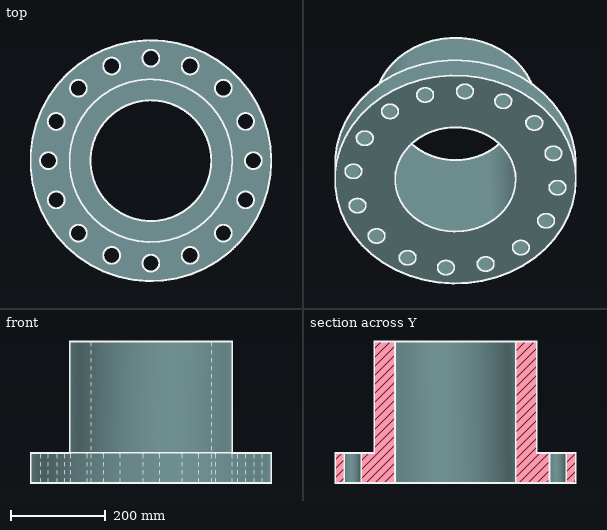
import cadquery as cq


flange_diameter = 508.0
flange_thickness = 63.5

hub_diameter = 342.9
overall_height = 298.45

bore_diameter = 254.0

bolt_circle_diameter = 431.8
bolt_hole_diameter = 34.925
bolt_hole_count = 16


def cylinder(diameter, height):
    """Upright cylinder centred on the Z axis with its base at Z = 0."""
    return cq.Workplane("XY").circle(diameter / 2).extrude(height)


def bolt_holes():
    """Ring of cylinders that cut the bolt holes through the flange."""
    return (
        cq.Workplane("XY")
        .polarArray(bolt_circle_diameter / 2, 0, 360, bolt_hole_count)
        .circle(bolt_hole_diameter / 2)
        .extrude(flange_thickness)
    )


flange = cylinder(flange_diameter, flange_thickness)
hub = cylinder(hub_diameter, overall_height)
bore = cylinder(bore_diameter, overall_height)

result = flange.union(hub).cut(bore).cut(bolt_holes())